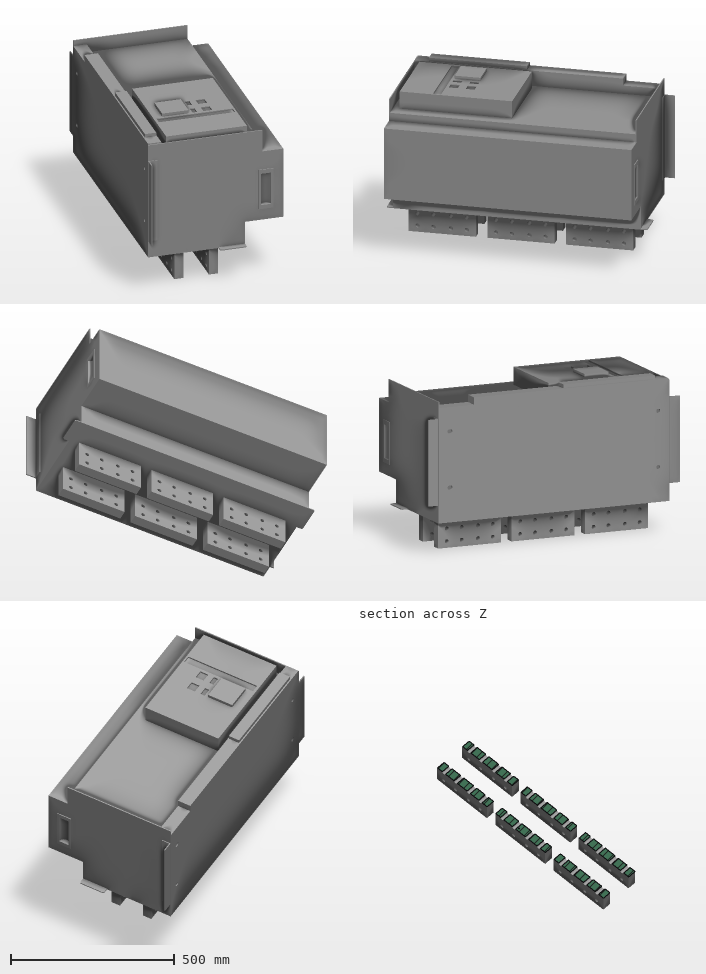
import cadquery as cq


total_width = 845.0
body_half_width = 389.0
total_depth = 432.0
body_top = 334.0
rear_block_start = 365.0
rear_block_top = 308.0
underside_step_start = 309.0
underside_step_height = 77.0
sheet = 3.0
side_plate_top = 379.0

front_bar_depth = 43.0
front_bar_low_top = 361.0
front_bar_top = 384.0
front_bar_step_x = -269.5
label_x = (33.0, 341.0)
label_y = (4.0, 40.5)
label_top = 395.5

panel_x = (12.0, 365.0)
panel_y = (65.0, 323.0)
panel_top = 389.5
display_x = (146.0, 227.0)
display_y = (95.0, 179.0)
display_top = 400.0
recess_depth = 5.0
long_slot_x = (237.0, 262.0)
long_slot_y = (73.5, 317.0)
window_width = 28.0
window_lefts = (display_x[0], display_x[1] - window_width)
large_window_y = (226.5, 254.0)
small_window_y = (192.0, 206.0)

mount_hole_diameter = 13.0
mount_slot_length = 16.0
mount_hole_x = 350.0
mount_hole_heights = (109.0, 285.0)
mount_hole_depth = 5.0

busbar_width = 211.0
busbar_pitch = 247.0
busbar_middle_x = 6.0
busbar_length = 100.5
busbar_thickness = 29.5
busbar_front_faces = (93.0, 204.0)
busbar_hole_diameter = 13.0
busbar_hole_offsets = (-77.0, -27.0, 28.0, 78.0)
busbar_hole_heights = (-80.0, -40.5)

side_lip = 2.5
bracket_depth = 29.5
bracket_bend_radius = 2.5
bracket_z = (56.0, 326.0)
foot_reach = 409.0
foot_y = (225.0, underside_step_start)
foot_corner = 3.0
grip_y = (351.5, 400.0)
grip_z = (114.0, 247.0)
grip_groove_y = (360.0, 392.0)
grip_groove_z = (128.0, 233.0)


def block(x_range, y_range, z_range):
    """Axis-aligned box spanning the given ranges."""
    size = [high - low for low, high in (x_range, y_range, z_range)]
    corner = (x_range[0], y_range[0], z_range[0])
    return cq.Workplane("XY").box(*size, centered=False).translate(corner)


def both_sides(left_part):
    """The given left-hand part together with its mirror image on the right."""
    return left_part.union(left_part.mirror("YZ"))


def make_body():
    profile = [
        (0, 0),
        (underside_step_start, 0),
        (underside_step_start, underside_step_height),
        (total_depth, underside_step_height),
        (total_depth, rear_block_top),
        (rear_block_start, rear_block_top),
        (rear_block_start, body_top),
        (0, body_top),
    ]
    return (
        cq.Workplane("YZ")
        .polyline(profile)
        .close()
        .extrude(body_half_width, both=True)
    )


def make_side_plates():
    """Upright edges of the side sheets above the body top."""
    return both_sides(block(
        (-body_half_width, -body_half_width + sheet),
        (0, rear_block_start),
        (rear_block_top, side_plate_top),
    ))


def make_front_bar():
    inner_half_width = body_half_width - sheet
    bar_y = (0, front_bar_depth)
    low_bar = block((-inner_half_width, inner_half_width), bar_y, (body_top, front_bar_low_top))
    high_bar = block((front_bar_step_x, inner_half_width), bar_y, (body_top, front_bar_top))
    label = block(label_x, label_y, (body_top, label_top))
    return low_bar.union(high_bar).union(label)


def make_control_panel():
    panel = block(panel_x, panel_y, (body_top, panel_top))
    panel = panel.union(block(display_x, display_y, (body_top, display_top)))
    recess_z = (panel_top - recess_depth, panel_top)
    panel = panel.cut(block(long_slot_x, long_slot_y, recess_z))
    for left in window_lefts:
        for window_y in (large_window_y, small_window_y):
            panel = panel.cut(block((left, left + window_width), window_y, recess_z))
    return panel


def make_mount_holes():
    """Blind slots on the left and round holes on the right of the front face."""
    front = cq.Workplane("XZ")
    slots = (
        front.pushPoints([(-mount_hole_x, z) for z in mount_hole_heights])
        .slot2D(mount_slot_length, mount_hole_diameter)
        .extrude(-mount_hole_depth)
    )
    holes = (
        front.pushPoints([(mount_hole_x, z) for z in mount_hole_heights])
        .circle(mount_hole_diameter / 2)
        .extrude(-mount_hole_depth)
    )
    return slots.union(holes)


def make_busbar(center_x, front_y):
    bar = block(
        (center_x - busbar_width / 2, center_x + busbar_width / 2),
        (front_y, front_y + busbar_thickness),
        (-busbar_length, 0),
    )
    hole_centers = [(center_x + dx, z) for dx in busbar_hole_offsets for z in busbar_hole_heights]
    holes = (
        cq.Workplane("XZ", origin=(0, front_y, 0))
        .pushPoints(hole_centers)
        .circle(busbar_hole_diameter / 2)
        .extrude(-busbar_thickness)
    )
    return bar.cut(holes)


def make_brackets():
    """Angle brackets: a flange flush with the front and a leg flat on the side, with a rounded bend."""
    flange = block((-total_width / 2, -body_half_width), (0, sheet), bracket_z)
    leg = block((-body_half_width - side_lip, -body_half_width), (0, bracket_depth), bracket_z)
    bracket = flange.union(leg)
    bend_edge = bracket.faces(">X").edges("|Z and <Y")
    return both_sides(bend_edge.fillet(bracket_bend_radius))


def make_feet():
    foot = block((-foot_reach, -body_half_width), foot_y, (0, sheet))
    return both_sides(foot.edges("|Z and <X").chamfer(foot_corner))


def make_grip_frames():
    return both_sides(block((-body_half_width - side_lip, -body_half_width), grip_y, grip_z))


def make_grip_grooves():
    """Upright half-round finger grooves inside the grip frames."""
    groove_radius = (grip_groove_y[1] - grip_groove_y[0]) / 2
    groove = (
        cq.Workplane("XY", origin=(0, 0, grip_groove_z[0]))
        .center(-body_half_width - side_lip, grip_groove_y[0] + groove_radius)
        .circle(groove_radius)
        .extrude(grip_groove_z[1] - grip_groove_z[0])
    )
    return both_sides(groove)


result = (
    make_body()
    .union(make_side_plates())
    .union(make_front_bar())
    .union(make_control_panel())
    .union(make_brackets())
    .union(make_feet())
    .union(make_grip_frames())
    .cut(make_grip_grooves())
    .cut(make_mount_holes())
)
for column in (-1, 0, 1):
    for bar_front in busbar_front_faces:
        result = result.union(make_busbar(busbar_middle_x + column * busbar_pitch, bar_front))